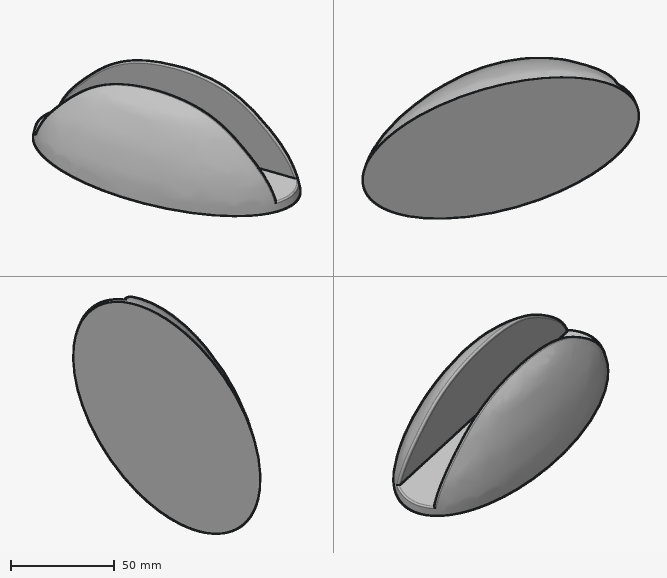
import cadquery as cq

length = 140.0
width = 70.0
slot_width = 21.0
floor_height = 5.0
rim_radius = 1.0
crown_height = 52.4

half_width = width / 2
stretch = length / width

flank_points = [
    (half_width, 0),
    (32.6, 13.6),
    (26.3, 30.5),
    (16.2, 46.6),
    (0, crown_height),
]


def make_dome():
    """Revolve the half profile, then stretch it along X into elliptical sections."""
    round_dome = (
        cq.Workplane("XZ")
        .spline(flank_points)
        .lineTo(0, 0)
        .close()
        .revolve(360, (0, 0, 0), (0, 1, 0))
    )
    stretch_along_x = cq.Matrix([
        [stretch, 0, 0, 0],
        [0, 1, 0, 0],
        [0, 0, 1, 0],
    ])
    return cq.Workplane(round_dome.val().transformGeometry(stretch_along_x))


def make_slot():
    """Straight channel along X, open at the top and at both ends."""
    return (
        cq.Workplane("XY")
        .workplane(offset=floor_height)
        .rect(2 * length, slot_width)
        .extrude(crown_height)
    )


def round_rim(body):
    """Round the edges where the slot walls and floor meet the dome surface."""
    slot_faces = body.faces("|Y").vals() + body.faces("|Z").faces(">Z").vals()
    rim_edges = [
        edge
        for face in slot_faces
        for edge in face.Edges()
        if edge.geomType() != "LINE"
    ]
    return body.newObject(rim_edges).fillet(rim_radius)


result = round_rim(make_dome().cut(make_slot()))